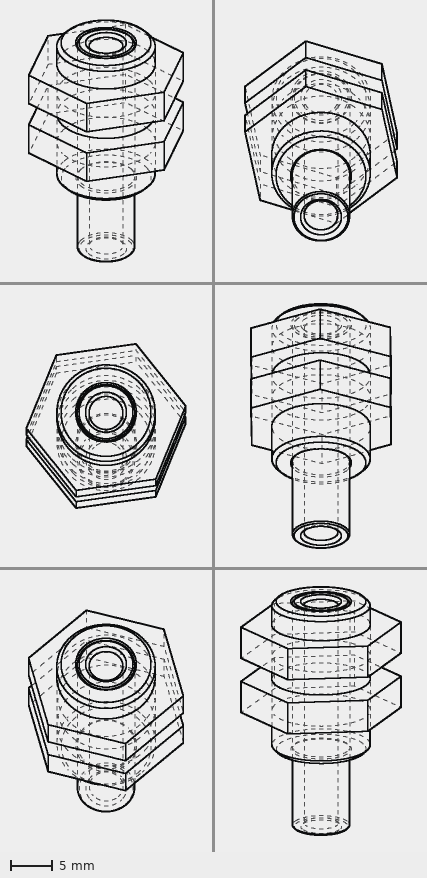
import cadquery as cq
import math

total_length = 29.0
housing_length = 19.0
housing_bottom = total_length - housing_length

housing_diameter = 12.0
housing_chamfer = 0.52

tube_diameter = 7.0
tube_chamfer = 0.2
bore_chamfer = 0.2
tube_hole_diameter = 4.12
tube_hole_mouth_diameter = 5.0
tube_hole_chamfer = (tube_hole_mouth_diameter - tube_hole_diameter) / 2

nut_across_flats = 17.0
nut_across_corners = nut_across_flats / math.cos(math.radians(30))
nut_height = 4.0
nut_gap = 3.0
nut_count = 2
nut_pitch = nut_height + nut_gap


def make_sleeve(bottom, length, outer_diameter, inner_diameter, outer_chamfer, inner_chamfer):
    """Vertical sleeve with its outer and inner edges chamfered at both ends."""
    outside = (
        cq.Workplane("XY", origin=(0, 0, bottom))
        .circle(outer_diameter / 2)
        .extrude(length)
        .faces("<Z or >Z")
        .chamfer(outer_chamfer)
    )
    inner_radius = inner_diameter / 2
    mouth_radius = inner_radius + inner_chamfer
    top = bottom + length
    hole = (
        cq.Workplane("XZ")
        .polyline([
            (0, bottom),
            (mouth_radius, bottom),
            (inner_radius, bottom + inner_chamfer),
            (inner_radius, top - inner_chamfer),
            (mouth_radius, top),
            (0, top),
        ])
        .close()
        .revolve(360, (0, 0, 0), (0, 1, 0))
    )
    return outside.cut(hole)


def make_housing():
    return make_sleeve(
        housing_bottom, housing_length, housing_diameter, tube_diameter, housing_chamfer, bore_chamfer
    )


def make_tube():
    return make_sleeve(
        0, total_length, tube_diameter, tube_hole_diameter, tube_chamfer, tube_hole_chamfer
    )


def make_nut(bottom):
    """Hexagon nut with two corners on the Y axis, fitting the housing."""
    return (
        cq.Workplane("XY", origin=(0, 0, bottom))
        .transformed(rotate=(0, 0, 90))
        .polygon(6, nut_across_corners)
        .circle(housing_diameter / 2)
        .extrude(nut_height)
    )


housing = make_housing()
tube = make_tube()

nuts = [make_nut(total_length - (i + 1) * nut_pitch) for i in range(nut_count)]

result = cq.Compound.makeCompound([housing.val(), tube.val(), *[nut.val() for nut in nuts]])